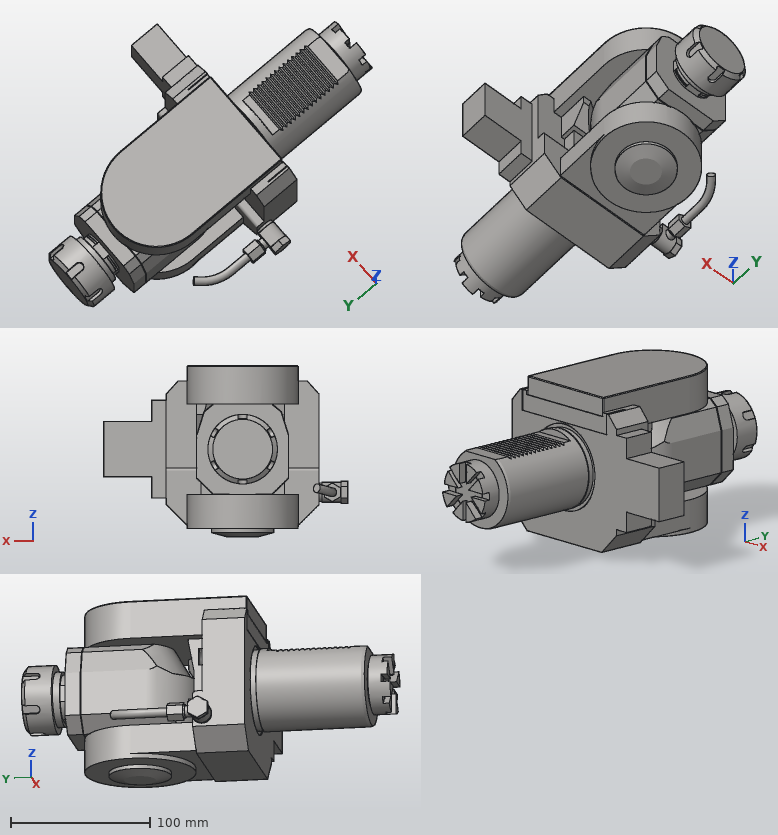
import cadquery as cq
import math


SHANK_D = 60.0
SHANK_END_Y = -82.7
SHANK_CHAMFER_LENGTH = 2.2
SHANK_CHAMFER_DEPTH = 0.7
SHANK_NECK_D = 58.7
SHANK_NECK_LENGTH = 3.6
FACE_GROOVE_D = 64.5
FACE_GROOVE_DEPTH = 1.0
FLAT_Z = 25.0
FLAT_START_Y = -9.6
TOOTH_COUNT = 14
TOOTH_PITCH = 4.0
TOOTH_WIDTH = 2.8
TOOTH_DEPTH = 1.5
FIRST_TOOTH_Y = -17.5

COUPLING_D = 43.0
COUPLING_END_Y = -99.91
COUPLING_START_Y = -84.0
COUPLING_NECK_D = 34.0
COUPLING_SLOT_COUNT = 8
COUPLING_SLOT_WIDTH = 5.5
COUPLING_SLOT_DEPTH = 6.0
COUPLING_SLOT_OFFSET = 0.75
SLOT_STEP_RADIUS = 14.0
SLOT_STEP_DEPTH = 0.3
SHORT_LUG_SETBACK = 2.0

FLANGE_HALF_WIDTH = 55.0
FLANGE_TOP_Z = 49.0
FLANGE_BOTTOM_Z = -55.5
FLANGE_THICKNESS = 31.0
FLANGE_FOOT_THICKNESS = 38.0
FOOT_TOP_Z = -13.4
FOOT_FILLET = 2.4
TOP_BEVEL_WIDTH = 8.5
TOP_BEVEL_HEIGHT = 9.4
BOTTOM_BEVEL = 15.7
PAD_HALF_WIDTH = 30.0
PAD_Y = 41.4
PAD_TOP_Y = 46.0
SIDE_NOTCH_D = 12.2
SIDE_NOTCH_Z = 18.9
SIDE_NOTCH_END_Y = 38.0
JOINT_HALF_WIDTH = 44.0
JOINT_GAP = 0.6
JOINT_BOTTOM_Z = 33.5
JOINT_DEPTH = 18.0
JOINT_SETBACK = 0.3

BLOCK_END_X = 100.0
BLOCK_STEP_X = 65.5
BLOCK_HALF_HEIGHT = 20.0
BLOCK_STEP_HALF_HEIGHT = 35.2
BLOCK_THICKNESS = 24.5

ARM_WIDTH = 80.0
ARM_RADIUS = ARM_WIDTH / 2
ARM_CENTRE_Y = 86.0
COVER_TOP_Z = 60.0
COVER_BOTTOM_Z = 46.0
COVER_FRONT_Y = 1.0
COVER_CHAMFER = 0.7
LOWER_ARM_BOTTOM_Z = -53.7
DISC_BOTTOM_Z = -57.2
CAP_BOTTOM_Z = -63.0
CAP_EDGE_Z = -60.0
CAP_D = 45.0
CAP_TIP_D = 23.0

HEAD_END_Y = 135.2
HEAD_ROUND_Y = 75.5
HEAD_HALF_WIDTH = 33.0
HEAD_SHOULDER_X = 27.8
HEAD_SHOULDER_Z = 27.0
HEAD_CREST_X = 21.3
HEAD_TOP_Z = 32.3
HEAD_SIDE_TOP_Z = 10.4
HEAD_SIDE_BOTTOM_Z = -21.0
HEAD_BOTTOM_Z = -32.5
HEAD_LEDGE_Z = 8.0
HEAD_CONE_BOTTOM_R = 39.7
HEAD_CONE_TOP_R = 25.4
HEAD_SEAM_Y = 123.5
HEAD_SEAM_WIDTH = 0.5
HEAD_SEAM_DEPTH = 0.4

GUSSET_NOSE_Y = 55.6
GUSSET_NOSE_Z = 25.0
GUSSET_FOOT_Y = 44.9
GUSSET_CLEARANCE_TOP_R = 40.0
GUSSET_CLEARANCE_BOTTOM_R = 44.6

SPINDLE_NECK_D = 35.3
NECK_FLAT_COUNT = 4
NECK_ACROSS_FLATS = 33.2
NECK_GROOVE_D = 32.0
NECK_GROOVE_START_Y = 136.5
NECK_GROOVE_WIDTH = 1.5
NECK_BRIDGE_WIDTH = 12.0
SPINDLE_COLLAR_D = 40.0
COLLAR_START_Y = 141.5
NUT_START_Y = 146.6
NUT_END_Y = 169.0
NUT_D = 50.0
NUT_TIP_D = 43.0
NUT_CHAMFER_LENGTH = 3.0
NUT_SLOT_COUNT = 6
NUT_SLOT_WIDTH = 6.37
NUT_SLOT_LENGTH = 13.5
NUT_SLOT_FLOOR_R = 22.0

FITTING_Y = 31.0
FITTING_Z = -31.0
FITTING_D = 14.5
FITTING_END_X = -75.7
FITTING_HEX_ACROSS_FLATS = 14.0
FITTING_HEX_LENGTH = 5.0
HEX_SIDES = 6
FITTING_NECK_D = 13.6
FITTING_NECK_LENGTH = 2.2
TUBE_X = -64.4
TUBE_D = 6.37
TUBE_NUT_ACROSS_FLATS = 11.5
TUBE_NUT_START_Y = 42.8
TUBE_NUT_END_Y = 54.3
TUBE_COLLAR_D = 9.8
TUBE_COLLAR_LENGTH = 1.2
TUBE_NECK_D = 8.2
TUBE_BEND_START_Y = 70.5
TUBE_BEND_RADIUS = 33.0
TUBE_BEND_ANGLE = 42.0
TUBE_TIP_LENGTH = 4.5
TUBE_TILT_ANGLE = 15.0


def box(x0, x1, y0, y1, z0, z1):
    """Axis-aligned box between two corners."""
    return cq.Workplane("XY").box(x1 - x0, y1 - y0, z1 - z0, centered=False).translate((x0, y0, z0))


def cylinder_y(diameter, y0, y1, x=0.0, z=0.0):
    """Cylinder parallel to Y."""
    solid = cq.Solid.makeCylinder(diameter / 2, y1 - y0, cq.Vector(x, y0, z), cq.Vector(0, 1, 0))
    return cq.Workplane(obj=solid)


def cylinder_x(diameter, x0, x1, y, z):
    """Cylinder parallel to X."""
    solid = cq.Solid.makeCylinder(diameter / 2, x1 - x0, cq.Vector(x0, y, z), cq.Vector(1, 0, 0))
    return cq.Workplane(obj=solid)


def prism_y(points_xz, y0, y1):
    """Prism along Y over an outline given as (x, z) points."""
    outline = cq.Workplane("XZ", origin=(0, y0, 0)).polyline(points_xz).close()
    return outline.extrude(-(y1 - y0))


def prism_x(points_yz, x0, x1):
    """Prism along X over an outline given as (y, z) points."""
    return cq.Workplane("YZ", origin=(x0, 0, 0)).polyline(points_yz).close().extrude(x1 - x0)


def tongue(y0, z0, z1):
    """Plate of arm width, square at y0 and rounded at its far end."""
    outline = (
        cq.Workplane("XY", origin=(0, 0, z0))
        .moveTo(-ARM_RADIUS, y0)
        .lineTo(-ARM_RADIUS, ARM_CENTRE_Y)
        .threePointArc((0, ARM_CENTRE_Y + ARM_RADIUS), (ARM_RADIUS, ARM_CENTRE_Y))
        .lineTo(ARM_RADIUS, y0)
        .close()
    )
    return outline.extrude(z1 - z0)


def make_flange():
    half = FLANGE_HALF_WIDTH
    outline = [
        (half, FLANGE_TOP_Z - TOP_BEVEL_HEIGHT),
        (half - TOP_BEVEL_WIDTH, FLANGE_TOP_Z),
        (-half + TOP_BEVEL_WIDTH, FLANGE_TOP_Z),
        (-half, FLANGE_TOP_Z - TOP_BEVEL_HEIGHT),
        (-half, FLANGE_BOTTOM_Z + BOTTOM_BEVEL),
        (-half + BOTTOM_BEVEL, FLANGE_BOTTOM_Z),
        (half - BOTTOM_BEVEL, FLANGE_BOTTOM_Z),
        (half, FLANGE_BOTTOM_Z + BOTTOM_BEVEL),
    ]
    flange = prism_y(outline, 0, FLANGE_FOOT_THICKNESS)
    step = box(-half, half, FLANGE_THICKNESS, FLANGE_FOOT_THICKNESS, FOOT_TOP_Z, FLANGE_TOP_Z)
    flange = flange.cut(step)
    step_corner = cq.selectors.NearestToPointSelector((0, FLANGE_FOOT_THICKNESS, FOOT_TOP_Z))
    flange = flange.edges(step_corner).fillet(FOOT_FILLET)
    pad_profile = [
        (FLANGE_THICKNESS, HEAD_BOTTOM_Z),
        (PAD_Y, HEAD_BOTTOM_Z),
        (PAD_Y, HEAD_LEDGE_Z),
        (PAD_TOP_Y, HEAD_TOP_Z),
        (FLANGE_THICKNESS, HEAD_TOP_Z),
    ]
    pad = prism_x(pad_profile, -PAD_HALF_WIDTH, PAD_HALF_WIDTH)
    for side in (-1, 1):
        notch_x = side * PAD_HALF_WIDTH
        pad = pad.cut(cylinder_y(SIDE_NOTCH_D, FLANGE_THICKNESS, SIDE_NOTCH_END_Y, notch_x, SIDE_NOTCH_Z))
    flange = flange.union(pad)
    for side in (-1, 1):
        inner = side * JOINT_HALF_WIDTH
        outer = side * (JOINT_HALF_WIDTH + JOINT_GAP)
        flange = flange.cut(
            box(min(inner, outer), max(inner, outer), 0, JOINT_DEPTH, JOINT_BOTTOM_Z, FLANGE_TOP_Z)
        )
    setback = box(-JOINT_HALF_WIDTH, JOINT_HALF_WIDTH, 0, JOINT_SETBACK, JOINT_BOTTOM_Z, FLANGE_TOP_Z)
    cover_seat = box(
        -ARM_RADIUS, ARM_RADIUS, 0, FLANGE_THICKNESS, COVER_BOTTOM_Z, FLANGE_TOP_Z
    )
    return flange.cut(setback).cut(cover_seat)


def make_side_block():
    root_x = FLANGE_HALF_WIDTH
    step = box(root_x, BLOCK_STEP_X, 0, BLOCK_THICKNESS, -BLOCK_STEP_HALF_HEIGHT, BLOCK_STEP_HALF_HEIGHT)
    bar = box(root_x, BLOCK_END_X, 0, BLOCK_THICKNESS, -BLOCK_HALF_HEIGHT, BLOCK_HALF_HEIGHT)
    return step.union(bar)


def make_arms():
    cover = tongue(COVER_FRONT_Y, COVER_BOTTOM_Z, COVER_TOP_Z)
    cover = cover.edges("|Z and <Y").chamfer(COVER_CHAMFER)
    cover = cover.faces(">Z").edges().chamfer(COVER_CHAMFER)
    upper = tongue(FLANGE_THICKNESS, HEAD_TOP_Z, COVER_BOTTOM_Z)
    lower = box(
        -ARM_RADIUS, ARM_RADIUS, FLANGE_THICKNESS, ARM_CENTRE_Y, LOWER_ARM_BOTTOM_Z, HEAD_BOTTOM_Z
    )
    disc = (
        cq.Workplane("XY", origin=(0, ARM_CENTRE_Y, DISC_BOTTOM_Z))
        .circle(ARM_RADIUS)
        .extrude(HEAD_BOTTOM_Z - DISC_BOTTOM_Z)
    )
    cap = (
        cq.Workplane("XZ", origin=(0, ARM_CENTRE_Y, 0))
        .polyline([
            (0, DISC_BOTTOM_Z),
            (CAP_D / 2, DISC_BOTTOM_Z),
            (CAP_D / 2, CAP_EDGE_Z),
            (CAP_TIP_D / 2, CAP_BOTTOM_Z),
            (0, CAP_BOTTOM_Z),
        ])
        .close()
        .revolve(360, (0, 0, 0), (0, 1, 0))
    )
    return cover.union(upper).union(lower).union(disc).union(cap)


def make_gusset():
    profile = [
        (FLANGE_THICKNESS, HEAD_TOP_Z),
        (GUSSET_NOSE_Y, HEAD_TOP_Z),
        (GUSSET_NOSE_Y, GUSSET_NOSE_Z),
        (GUSSET_FOOT_Y, HEAD_LEDGE_Z),
        (FLANGE_THICKNESS, HEAD_LEDGE_Z),
    ]
    wedge = prism_x(profile, 0, HEAD_HALF_WIDTH)
    clearance = cq.Solid.makeCone(
        GUSSET_CLEARANCE_BOTTOM_R,
        GUSSET_CLEARANCE_TOP_R,
        HEAD_TOP_Z - HEAD_LEDGE_Z,
        cq.Vector(0, ARM_CENTRE_Y, HEAD_LEDGE_Z),
    )
    return wedge.cut(cq.Workplane(obj=clearance))


def head_section(inset):
    """Head cross-section as (x, z) points, shrunk by the inset on its straight sides."""
    right = [
        (HEAD_CREST_X, HEAD_BOTTOM_Z + inset),
        (HEAD_HALF_WIDTH - inset, HEAD_SIDE_BOTTOM_Z),
        (HEAD_HALF_WIDTH - inset, HEAD_SIDE_TOP_Z),
        (HEAD_SHOULDER_X - inset, HEAD_SHOULDER_Z),
        (HEAD_CREST_X, HEAD_TOP_Z - inset),
    ]
    left = [(-x, z) for x, z in reversed(right)]
    return right + left


def make_head():
    head = prism_y(head_section(0), HEAD_ROUND_Y - HEAD_HALF_WIDTH, HEAD_END_Y)
    plan = (
        cq.Workplane("XY", origin=(0, 0, HEAD_BOTTOM_Z))
        .moveTo(-HEAD_HALF_WIDTH, HEAD_END_Y)
        .lineTo(-HEAD_HALF_WIDTH, HEAD_ROUND_Y)
        .threePointArc((0, HEAD_ROUND_Y - HEAD_HALF_WIDTH), (HEAD_HALF_WIDTH, HEAD_ROUND_Y))
        .lineTo(HEAD_HALF_WIDTH, HEAD_END_Y)
        .close()
        .extrude(HEAD_TOP_Z - HEAD_BOTTOM_Z)
    )
    head = head.intersect(plan)
    cone = cq.Solid.makeCone(
        HEAD_CONE_BOTTOM_R,
        HEAD_CONE_TOP_R,
        HEAD_TOP_Z - HEAD_LEDGE_Z,
        cq.Vector(0, ARM_CENTRE_Y, HEAD_LEDGE_Z),
    )
    half = HEAD_HALF_WIDTH
    relief = box(-half, half, HEAD_ROUND_Y - half, ARM_CENTRE_Y, HEAD_LEDGE_Z, HEAD_TOP_Z)
    head = head.cut(relief.cut(cq.Workplane(obj=cone)))
    seam_end_y = HEAD_SEAM_Y + HEAD_SEAM_WIDTH
    seam = prism_y(head_section(0), HEAD_SEAM_Y, seam_end_y)
    seam = seam.cut(prism_y(head_section(HEAD_SEAM_DEPTH), HEAD_SEAM_Y, seam_end_y))
    return head.cut(seam)


def make_spindle_neck():
    """Neck with wrench flats and a groove that stops short of each flat."""
    neck = cylinder_y(SPINDLE_NECK_D, HEAD_END_Y, COLLAR_START_Y)
    radius = SPINDLE_NECK_D / 2
    half_bridge = NECK_BRIDGE_WIDTH / 2
    groove_end_y = NECK_GROOVE_START_Y + NECK_GROOVE_WIDTH
    groove = cylinder_y(SPINDLE_NECK_D, NECK_GROOVE_START_Y, groove_end_y)
    groove = groove.cut(cylinder_y(NECK_GROOVE_D, NECK_GROOVE_START_Y, groove_end_y))
    flat = box(-radius, radius, HEAD_END_Y, COLLAR_START_Y, NECK_ACROSS_FLATS / 2, radius)
    bridge = box(-half_bridge, half_bridge, NECK_GROOVE_START_Y, groove_end_y, 0, radius)
    for index in range(NECK_FLAT_COUNT):
        angle = index * 360 / NECK_FLAT_COUNT
        neck = neck.cut(flat.rotate((0, 0, 0), (0, 1, 0), angle))
        groove = groove.cut(bridge.rotate((0, 0, 0), (0, 1, 0), angle))
    return neck.cut(groove)


def make_collet_nut():
    collar = cylinder_y(SPINDLE_COLLAR_D, COLLAR_START_Y, NUT_START_Y)
    nut = cylinder_y(NUT_D, NUT_START_Y, NUT_END_Y)
    nut = nut.faces(">Y").chamfer(NUT_CHAMFER_LENGTH, (NUT_D - NUT_TIP_D) / 2)
    slot_round_y = NUT_END_Y - NUT_SLOT_LENGTH + NUT_SLOT_WIDTH / 2
    half_slot = NUT_SLOT_WIDTH / 2
    slot = box(-half_slot, half_slot, slot_round_y, NUT_END_Y, NUT_SLOT_FLOOR_R, NUT_D / 2)
    slot_end = (
        cq.Workplane("XY", origin=(0, slot_round_y, NUT_SLOT_FLOOR_R))
        .circle(half_slot)
        .extrude(NUT_D / 2 - NUT_SLOT_FLOOR_R)
    )
    slot = slot.union(slot_end)
    for index in range(NUT_SLOT_COUNT):
        nut = nut.cut(slot.rotate((0, 0, 0), (0, 1, 0), index * 360 / NUT_SLOT_COUNT))
    return collar.union(nut)


def make_shank():
    shank = cylinder_y(SHANK_D, SHANK_END_Y, -SHANK_NECK_LENGTH)
    shank = shank.faces("<Y").chamfer(SHANK_CHAMFER_LENGTH, SHANK_CHAMFER_DEPTH)
    shank = shank.union(cylinder_y(SHANK_NECK_D, -SHANK_NECK_LENGTH, FACE_GROOVE_DEPTH))
    radius = SHANK_D / 2
    shank = shank.cut(box(-radius, radius, SHANK_END_Y, FLAT_START_Y, FLAT_Z, radius))
    for index in range(TOOTH_COUNT):
        tooth_y = FIRST_TOOTH_Y - index * TOOTH_PITCH
        groove = prism_x(
            [
                (tooth_y - TOOTH_WIDTH / 2, FLAT_Z),
                (tooth_y, FLAT_Z - TOOTH_DEPTH),
                (tooth_y + TOOTH_WIDTH / 2, FLAT_Z),
            ],
            -radius,
            radius,
        )
        shank = shank.cut(groove)
    return shank


def make_coupling():
    """Coupling with a pinwheel of radial slots; every second lug between them is shorter."""
    coupling = cylinder_y(COUPLING_D, COUPLING_END_Y, COUPLING_START_Y)
    radius = COUPLING_D / 2
    pitch = 360 / COUPLING_SLOT_COUNT
    floor_y = COUPLING_END_Y + COUPLING_SLOT_DEPTH
    slot_left = -COUPLING_SLOT_OFFSET - COUPLING_SLOT_WIDTH / 2
    slot_right = slot_left + COUPLING_SLOT_WIDTH
    slot = box(slot_left, slot_right, COUPLING_END_Y, floor_y, 0, radius)
    outer_floor = box(slot_left, slot_right, floor_y, floor_y + SLOT_STEP_DEPTH, SLOT_STEP_RADIUS, radius)
    slot = slot.union(outer_floor)
    pitch_radians = math.radians(pitch)
    lug_end = prism_y(
        [
            (0, 0),
            (0, COUPLING_D),
            (COUPLING_D * math.sin(pitch_radians), COUPLING_D * math.cos(pitch_radians)),
        ],
        COUPLING_END_Y,
        COUPLING_END_Y + SHORT_LUG_SETBACK,
    )
    for index in range(COUPLING_SLOT_COUNT):
        angle = index * pitch
        coupling = coupling.cut(slot.rotate((0, 0, 0), (0, 1, 0), angle))
        if index % 2 == 0:
            coupling = coupling.cut(lug_end.rotate((0, 0, 0), (0, 1, 0), angle))
    return coupling.union(cylinder_y(COUPLING_NECK_D, COUPLING_START_Y, SHANK_END_Y))


def make_coolant_fitting():
    hex_end_x = FITTING_END_X + FITTING_HEX_LENGTH
    neck_x = -FLANGE_HALF_WIDTH - FITTING_NECK_LENGTH
    corner_scale = 1 / math.cos(math.pi / HEX_SIDES)
    bolt_head = (
        cq.Workplane("YZ", origin=(FITTING_END_X, FITTING_Y, FITTING_Z))
        .transformed(rotate=(0, 0, 90))
        .polygon(HEX_SIDES, FITTING_HEX_ACROSS_FLATS * corner_scale)
        .extrude(FITTING_HEX_LENGTH)
    )
    body = cylinder_x(FITTING_D, hex_end_x, neck_x, FITTING_Y, FITTING_Z)
    radius = FITTING_D / 2
    corner = box(
        hex_end_x, neck_x, FITTING_Y, FITTING_Y + radius, FITTING_Z, FITTING_Z + radius
    )
    body = body.union(corner)
    neck = cylinder_x(FITTING_NECK_D, neck_x, -FLANGE_HALF_WIDTH, FITTING_Y, FITTING_Z)
    tube_neck = cylinder_y(TUBE_NECK_D, FITTING_Y, TUBE_NUT_START_Y, TUBE_X, FITTING_Z)
    collar_y = TUBE_NUT_START_Y - TUBE_COLLAR_LENGTH
    collar = cylinder_y(TUBE_COLLAR_D, collar_y, TUBE_NUT_START_Y, TUBE_X, FITTING_Z)
    tube_nut = (
        cq.Workplane("XZ", origin=(TUBE_X, TUBE_NUT_START_Y, FITTING_Z))
        .transformed(rotate=(0, 0, 90))
        .polygon(HEX_SIDES, TUBE_NUT_ACROSS_FLATS * corner_scale)
        .extrude(TUBE_NUT_START_Y - TUBE_NUT_END_Y)
    )
    fitting = bolt_head.union(body).union(neck).union(tube_neck).union(collar).union(tube_nut)
    return fitting.union(make_coolant_tube())


def make_coolant_tube():
    """Tube that leaves its nut along Y and bends towards the spindle."""
    bend = math.radians(TUBE_BEND_ANGLE)

    def bend_point(angle):
        x = TUBE_X + TUBE_BEND_RADIUS * (1 - math.cos(angle))
        y = TUBE_BEND_START_Y + TUBE_BEND_RADIUS * math.sin(angle)
        return (x, y)

    bend_end = bend_point(bend)
    tip = (bend_end[0] + TUBE_TIP_LENGTH * math.sin(bend), bend_end[1] + TUBE_TIP_LENGTH * math.cos(bend))
    path = (
        cq.Workplane("XY", origin=(0, 0, FITTING_Z))
        .moveTo(TUBE_X, TUBE_NUT_END_Y)
        .lineTo(TUBE_X, TUBE_BEND_START_Y)
        .threePointArc(bend_point(bend / 2), bend_end)
        .lineTo(*tip)
    )
    section = cq.Workplane("XZ", origin=(TUBE_X, TUBE_NUT_END_Y, FITTING_Z)).circle(TUBE_D / 2)
    tube = section.sweep(path, transition="round")
    return tube.rotate((TUBE_X, 0, FITTING_Z), (TUBE_X, 1, FITTING_Z), -TUBE_TILT_ANGLE)


face_groove = cylinder_y(FACE_GROOVE_D, 0, FACE_GROOVE_DEPTH)

result = make_flange().cut(face_groove)
for feature in (
    make_side_block(),
    make_arms(),
    make_gusset(),
    make_head(),
    make_spindle_neck(),
    make_collet_nut(),
    make_shank(),
    make_coupling(),
    make_coolant_fitting(),
):
    result = result.union(feature)